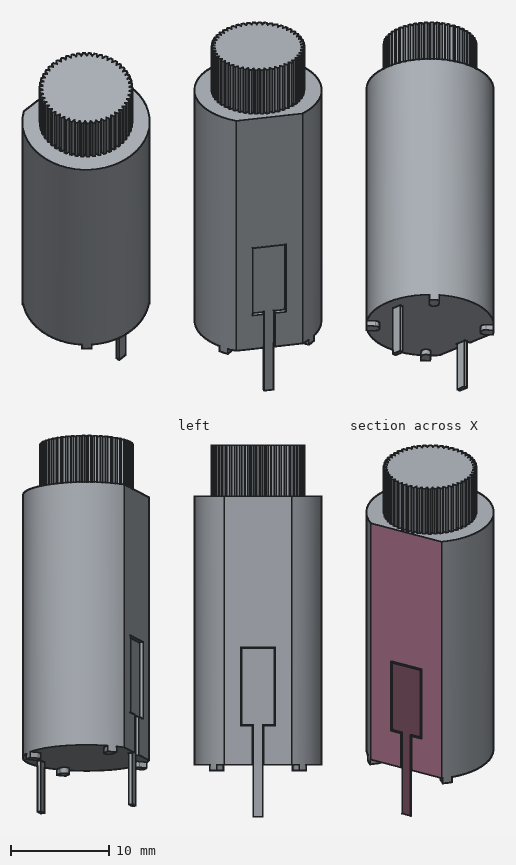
import cadquery as cq
import math

HOUSING_RADIUS = 6.5
HOUSING_HEIGHT = 27.4
FLAT_DISTANCE = 5.5

FOOT_COUNT = 4
FOOT_WIDTH = 1.0
FOOT_ROUND_CENTRE = 5.65
FOOT_HEIGHT = 0.6

KNOB_RADIUS = 4.75
KNOB_HEIGHT = 5.2
KNURL_COUNT = 50
KNURL_DEPTH = 0.35
CREST_FRACTION = 0.4

PIN_THICKNESS = 0.4
PIN_CENTRE = 5.0
PLATE_WIDTH = 3.3
PLATE_BOTTOM = 4.1
PLATE_TOP = 11.9
TAIL_WIDTH = 1.0
TAIL_LENGTH = 5.3
PIN_CLEARANCE = 0.1


def make_t_plate(tail_end, inner_x, depth, clearance=0.0):
    """Plate and tail profile in the YZ plane, extruded from inner_x along X by depth."""
    half_plate = PLATE_WIDTH / 2 + clearance
    half_tail = TAIL_WIDTH / 2 + clearance
    plate_bottom = PLATE_BOTTOM - clearance
    plate_top = PLATE_TOP + clearance
    return (
        cq.Workplane("YZ", origin=(inner_x, 0, 0))
        .moveTo(-half_tail, tail_end)
        .lineTo(half_tail, tail_end)
        .lineTo(half_tail, plate_bottom)
        .lineTo(half_plate, plate_bottom)
        .lineTo(half_plate, plate_top)
        .lineTo(-half_plate, plate_top)
        .lineTo(-half_plate, plate_bottom)
        .lineTo(-half_tail, plate_bottom)
        .close()
        .extrude(depth)
    )


def make_pin(centre_x):
    """One terminal pin whose thickness is centred on centre_x."""
    return make_t_plate(-TAIL_LENGTH, centre_x - PIN_THICKNESS / 2, PIN_THICKNESS)


def make_foot_prints():
    """Radial bars on the diagonals, round at the inner end and running out past the housing wall."""
    half_width = FOOT_WIDTH / 2
    outer_end = HOUSING_RADIUS + FOOT_WIDTH
    bar = (
        cq.Workplane("XY", origin=(0, 0, -FOOT_HEIGHT))
        .moveTo(FOOT_ROUND_CENTRE, -half_width)
        .lineTo(outer_end, -half_width)
        .lineTo(outer_end, half_width)
        .lineTo(FOOT_ROUND_CENTRE, half_width)
        .threePointArc((FOOT_ROUND_CENTRE - half_width, 0), (FOOT_ROUND_CENTRE, -half_width))
        .close()
        .extrude(FOOT_HEIGHT)
    )
    step = 360 / FOOT_COUNT
    return [bar.rotate((0, 0, 0), (0, 0, 1), step * (index + 0.5)) for index in range(FOOT_COUNT)]


def make_housing(embedded_pin):
    """Flatted column with feet, an open recess on the flat and a fitted pocket for the embedded pin."""
    half_flat = math.sqrt(HOUSING_RADIUS**2 - FLAT_DISTANCE**2)
    column = (
        cq.Workplane("XY", origin=(0, 0, -FOOT_HEIGHT))
        .moveTo(-FLAT_DISTANCE, -half_flat)
        .threePointArc((HOUSING_RADIUS, 0), (-FLAT_DISTANCE, half_flat))
        .close()
        .extrude(FOOT_HEIGHT + HOUSING_HEIGHT)
    )

    clearing = cq.Workplane("XY", origin=(0, 0, -FOOT_HEIGHT)).circle(2 * HOUSING_RADIUS).extrude(FOOT_HEIGHT)
    for foot_print in make_foot_prints():
        clearing = clearing.cut(foot_print)

    recess_depth = FLAT_DISTANCE - PIN_CENTRE + PIN_THICKNESS / 2
    recess = make_t_plate(0, -FLAT_DISTANCE, recess_depth, PIN_CLEARANCE)
    return column.cut(clearing).cut(recess).cut(embedded_pin)


def make_knob():
    """Knob with V-shaped grooves between flat-topped teeth; one tooth is centred on +X."""
    pitch = 2 * math.pi / KNURL_COUNT
    half_crest = pitch * CREST_FRACTION / 2
    root_radius = KNOB_RADIUS - KNURL_DEPTH
    outline = []
    for tooth in range(KNURL_COUNT):
        middle = tooth * pitch
        corners = (
            (KNOB_RADIUS, middle - half_crest),
            (KNOB_RADIUS, middle + half_crest),
            (root_radius, middle + pitch / 2),
        )
        for radius, angle in corners:
            outline.append((radius * math.cos(angle), radius * math.sin(angle)))
    return (
        cq.Workplane("XY", origin=(0, 0, HOUSING_HEIGHT))
        .polyline(outline)
        .close()
        .extrude(KNOB_HEIGHT)
    )


recessed_pin, embedded_pin = [make_pin(side * PIN_CENTRE) for side in (-1, 1)]
housing = make_housing(embedded_pin)
knob = make_knob()

result = cq.Compound.makeCompound([housing.val(), knob.val(), recessed_pin.val(), embedded_pin.val()])